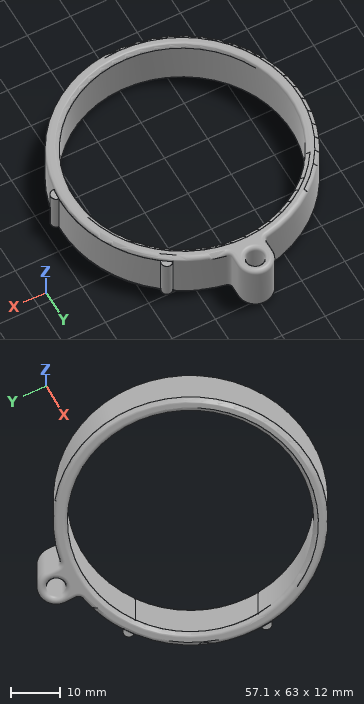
import cadquery as cq
import math

OVERALL_LENGTH = 63.0
RING_OUTER_RADIUS = 28.0
RING_INNER_RADIUS = 25.0
HEIGHT = 12.0
EDGE_ROUND = 1.0

LOOP_HOLE_DIAMETER = 4.0
LOOP_RADIUS = LOOP_HOLE_DIAMETER / 2 + 2 * EDGE_ROUND
LOOP_BLEND_RADIUS = 1.0
LOOP_CENTER_Y = OVERALL_LENGTH - RING_OUTER_RADIUS - LOOP_RADIUS

INSERT_START_ANGLE = -5.0
INSERT_SPAN_ANGLE = 60.0
INSERT_HEIGHT = HEIGHT - 2 * EDGE_ROUND
BEAD_RADIUS = 1.25


def polar_point(radius, angle):
    """Point at a distance from the ring axis and an angle in degrees from +X."""
    angle_radians = math.radians(angle)
    return (radius * math.cos(angle_radians), radius * math.sin(angle_radians))


def make_loop_tab():
    """Round-ended tab from the ring out to the loop, blended into the ring on both sides."""
    blend_center_x = LOOP_RADIUS + LOOP_BLEND_RADIUS
    blend_center_distance = RING_OUTER_RADIUS + LOOP_BLEND_RADIUS
    blend_center_y = math.sqrt(blend_center_distance**2 - blend_center_x**2)
    ring_contact_scale = RING_OUTER_RADIUS / blend_center_distance
    contact_x = blend_center_x * ring_contact_scale
    contact_y = blend_center_y * ring_contact_scale
    root_y = (RING_INNER_RADIUS + RING_OUTER_RADIUS) / 2

    return (
        cq.Workplane("XY")
        .moveTo(-contact_x, contact_y)
        .radiusArc((-LOOP_RADIUS, blend_center_y), -LOOP_BLEND_RADIUS)
        .lineTo(-LOOP_RADIUS, LOOP_CENTER_Y)
        .threePointArc((0, LOOP_CENTER_Y + LOOP_RADIUS), (LOOP_RADIUS, LOOP_CENTER_Y))
        .lineTo(LOOP_RADIUS, blend_center_y)
        .radiusArc((contact_x, contact_y), -LOOP_BLEND_RADIUS)
        .lineTo(0, root_y)
        .close()
        .extrude(HEIGHT)
    )


def make_loop_hole():
    """Cutter for the loop's hole, flared at both ends so that the hole edges come out rounded."""
    hole_radius = LOOP_HOLE_DIAMETER / 2
    mouth_radius = hole_radius + EDGE_ROUND
    return (
        cq.Workplane("XZ")
        .lineTo(mouth_radius, 0)
        .radiusArc((hole_radius, EDGE_ROUND), EDGE_ROUND)
        .lineTo(hole_radius, HEIGHT - EDGE_ROUND)
        .radiusArc((mouth_radius, HEIGHT), EDGE_ROUND)
        .lineTo(0, HEIGHT)
        .close()
        .revolve(360, (0, 0), (0, 1))
        .translate((0, LOOP_CENTER_Y, 0))
    )


def make_solid_ring():
    """Ring with its loop and rounded rims, before the window is cut."""
    outline = cq.Workplane("XY").circle(RING_OUTER_RADIUS).extrude(HEIGHT).union(make_loop_tab())
    bore = cq.Workplane("XY").circle(RING_INNER_RADIUS).extrude(HEIGHT)
    rounded_body = outline.cut(bore).faces("<Z or >Z").edges().fillet(EDGE_ROUND)
    return rounded_body.cut(make_loop_hole())


def make_insert():
    """Curved wall segment flush with the ring's inner and outer faces, plus its end beads."""
    start = INSERT_START_ANGLE
    middle = start + INSERT_SPAN_ANGLE / 2
    end = start + INSERT_SPAN_ANGLE
    base = cq.Workplane("XY").workplane(offset=EDGE_ROUND)

    segment = (
        base.moveTo(*polar_point(RING_INNER_RADIUS, start))
        .lineTo(*polar_point(RING_OUTER_RADIUS, start))
        .threePointArc(polar_point(RING_OUTER_RADIUS, middle), polar_point(RING_OUTER_RADIUS, end))
        .lineTo(*polar_point(RING_INNER_RADIUS, end))
        .threePointArc(polar_point(RING_INNER_RADIUS, middle), polar_point(RING_INNER_RADIUS, start))
        .close()
        .extrude(INSERT_HEIGHT)
    )
    bead_centers = [polar_point(RING_OUTER_RADIUS, angle) for angle in (start, end)]
    beads = base.pushPoints(bead_centers).circle(BEAD_RADIUS).extrude(INSERT_HEIGHT)
    return segment.union(beads)


insert = make_insert()
ring = make_solid_ring().cut(insert)

result = cq.Compound.makeCompound([ring.solids().val(), insert.solids().val()])